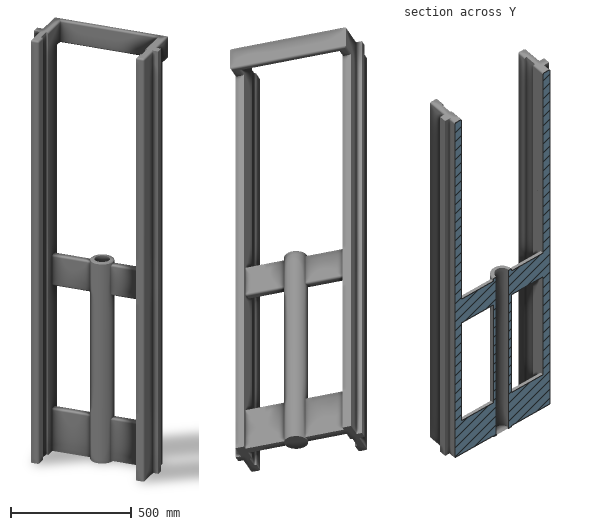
import cadquery as cq

height = 1930.0
depth = 263.0
rail_outer_x = 257.0
rail_inner_x = 218.0
rail_bottom_z = 5.0
edge_radius = 8.0

rail_depth = 199.0
head_height = 100.0
rib_outer_x = 280.0
rib_front_y = 98.0
rib_width = 33.0
groove_front_y = 46.0
groove_width = 56.0
groove_depth = 10.0

bar_thickness = 27.0

tube_diameter = 100.0
bore_diameter = 65.0
tube_rim_chamfer = 4.0
tube_y = 165.0
tube_top_z = 911.0
floor_thickness = rail_bottom_z

plate_thickness = 35.0
lower_plate_top_z = 199.0
upper_plate_bottom_z = 759.0
upper_plate_top_z = 898.0

head_bottom_z = height - head_height


def block(x_range, y_range, z_range):
    """Box spanning the given (low, high) limits along each axis."""
    (x0, x1), (y0, y1), (z0, z1) = x_range, y_range, z_range
    return cq.Workplane("XY").box(x1 - x0, y1 - y0, z1 - z0, centered=False).translate((x0, y0, z0))


def make_portal():
    """Two rails with rearward heads joined by the rear crossbar, with rounded edges."""
    side_profile = [
        (0, rail_bottom_z),
        (rail_depth, rail_bottom_z),
        (rail_depth, head_bottom_z),
        (depth, head_bottom_z),
        (depth, height),
        (0, height),
    ]
    full_width = cq.Workplane("YZ").polyline(side_profile).close().extrude(rail_outer_x, both=True)
    opening = block((-rail_inner_x, rail_inner_x), (0, depth - bar_thickness), (0, height))
    portal = full_width.cut(opening)
    top_and_front_edges = portal.faces(">Z or <Y").edges("not <Z")
    underside_edges = portal.faces("|Z").faces("<Z[1]").edges("not <Y")
    portal = top_and_front_edges.add(underside_edges).fillet(edge_radius)
    return portal


def make_rib():
    """Full-height rib on the outside of the right rail."""
    rib_inner_x = rail_outer_x - edge_radius
    return block((rib_inner_x, rib_outer_x), (rib_front_y, rib_front_y + rib_width), (rail_bottom_z, height))


def make_groove():
    """Full-height groove in the inner face of the right rail."""
    return block(
        (rail_inner_x, rail_inner_x + groove_depth),
        (groove_front_y, groove_front_y + groove_width),
        (rail_bottom_z, height),
    )


def make_cross_plate(bottom_z, top_z, rounded_edges):
    """Plate between the rails, centred on the tube axis, with the chosen long edges rounded."""
    half = plate_thickness / 2
    plate = block((-rail_inner_x, rail_inner_x), (tube_y - half, tube_y + half), (bottom_z, top_z))
    return plate.edges(rounded_edges).fillet(edge_radius)


def tube_cylinder(diameter, bottom_z):
    """Cylinder on the tube axis, reaching up to the tube's top."""
    base = cq.Workplane("XY", origin=(0, tube_y, bottom_z))
    return base.circle(diameter / 2).extrude(tube_top_z - bottom_z)


tube = tube_cylinder(tube_diameter, 0).faces(">Z").chamfer(tube_rim_chamfer)
bore = tube_cylinder(bore_diameter, floor_thickness)

frame = make_portal()
rib = make_rib()
groove = make_groove()
frame = frame.cut(groove).cut(groove.mirror("YZ"))
frame = frame.union(rib).union(rib.mirror("YZ"))

lower_plate = make_cross_plate(rail_bottom_z, lower_plate_top_z, "|X and >Z")
upper_plate = make_cross_plate(upper_plate_bottom_z, upper_plate_top_z, "|X")

result = frame.union(lower_plate).union(upper_plate).union(tube).cut(bore)